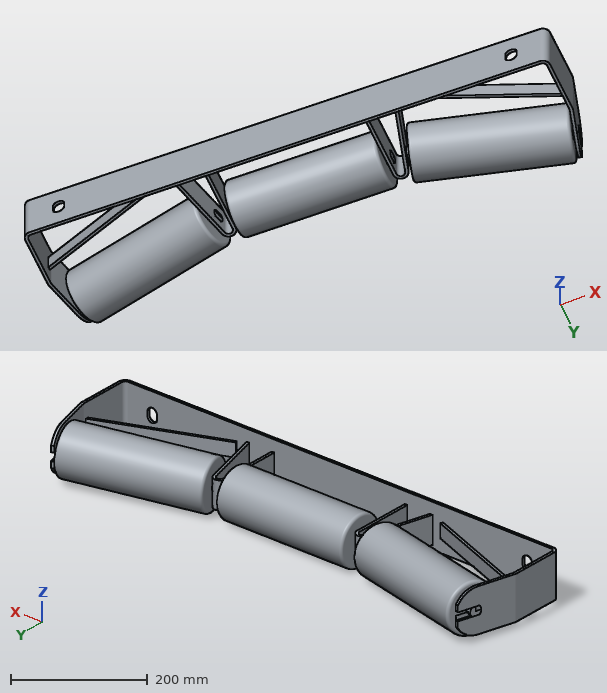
import cadquery as cq
import math

frame_length = 830.0
frame_height = 80.0
sheet = 5.0
bend_radius = 12.0
wing_angle = 15.0
wing_bend_y = 97.0
end_plate_tip_y = 198.0
end_plate_round_y = 164.0

mount_slot_x = 358.0
mount_slot_width = 18.0
mount_slot_height = 25.0

bracket_bend_x = 136.0
bracket_bend_y = 114.0
bracket_height = 50.0

brace_angle = 21.3
brace_height = 25.0
brace_top_y = 91.0
brace_length = 232.0

roller_diameter = 89.0
roller_length = 240.0
roller_edge_radius = 5.0
shaft_diameter = 20.0
shaft_flat_width = 15.0
bracket_shaft_z = -7.0
centre_shaft_y = 100.0
wing_shaft_y = 168.0

shaft_plane = cq.Plane((0, 0, 0), xDir=(0, 0, 1), normal=(1, 0, 0))
half_length = frame_length / 2
inner_radius = bend_radius - sheet
wing = math.radians(wing_angle)
lean_x = math.sin(wing)
lean_y = math.cos(wing)


def polar(centre, radius, angle):
    """Point at a radius and an angle in degrees from a centre."""
    turn = math.radians(angle)
    return (centre[0] + radius * math.cos(turn), centre[1] + radius * math.sin(turn))


def along_lean(start, y):
    """Point at height y on the line through start that leans inward (+X) by the wing angle."""
    return (start[0] + (y - start[1]) * lean_x / lean_y, y)


def mirrored(left_half):
    """A left-hand shape together with its mirror image across the YZ plane."""
    return left_half.union(left_half.mirror("YZ"))


corner_centre = (bend_radius - half_length, bend_radius)
wing_bend_centre = (bend_radius - half_length, wing_bend_y)
bracket_bend_centre = (-bracket_bend_x, bracket_bend_y)

end_plate_start = polar(wing_bend_centre, bend_radius, 180 - wing_angle)
bracket_lean_start = polar(bracket_bend_centre, bend_radius, 180 - wing_angle)

wing_shaft_start = along_lean(end_plate_start, wing_shaft_y)
wing_span = (
    (bracket_lean_start[0] - wing_shaft_start[0]) * lean_y
    - (bracket_lean_start[1] - wing_shaft_start[1]) * lean_x
    + sheet
)
wing_tilt = math.degrees(math.atan2(-bracket_shaft_z, wing_span))
bracket_leg_face_x = bend_radius - bracket_bend_x
centre_span = 2 * (sheet - bracket_leg_face_x)


def sheet_strip(profile, height):
    """Strip of a given height from an XY profile, centred on Z = 0."""
    return profile.close().extrude(height / 2, both=True)


def base_strip():
    """Left half of the base strip with its corner and leaning end plate."""
    corner = corner_centre
    top = wing_bend_centre
    tip_outer = along_lean(end_plate_start, end_plate_tip_y)
    tip_inner = (tip_outer[0] + sheet * lean_y, tip_outer[1] - sheet * lean_x)
    profile = (
        cq.Workplane("XY")
        .moveTo(0, 0)
        .lineTo(corner[0], 0)
        .threePointArc(polar(corner, bend_radius, 225), (-half_length, bend_radius))
        .lineTo(-half_length, top[1])
        .threePointArc(polar(top, bend_radius, 180 - wing_angle / 2), end_plate_start)
        .lineTo(*tip_outer)
        .lineTo(*tip_inner)
        .lineTo(*polar(top, inner_radius, 180 - wing_angle))
        .threePointArc(polar(top, inner_radius, 180 - wing_angle / 2), (sheet - half_length, top[1]))
        .lineTo(sheet - half_length, bend_radius)
        .threePointArc(polar(corner, inner_radius, 225), (corner[0], sheet))
        .lineTo(0, sheet)
    )
    return sheet_strip(profile, frame_height)


def bracket():
    """Left inverted-V bracket: an upright leg, a bend and a leg that leans with the wing."""
    centre = bracket_bend_centre
    crown = 90 - wing_angle / 2
    inner_lean_start = polar(centre, inner_radius, 180 - wing_angle)
    profile = (
        cq.Workplane("XY")
        .moveTo(bracket_leg_face_x, 0)
        .lineTo(bracket_leg_face_x, centre[1])
        .threePointArc(polar(centre, bend_radius, crown), bracket_lean_start)
        .lineTo(*along_lean(bracket_lean_start, 0))
        .lineTo(*along_lean(inner_lean_start, 0))
        .lineTo(*inner_lean_start)
        .threePointArc(polar(centre, inner_radius, crown), (centre[0] + inner_radius, centre[1]))
        .lineTo(centre[0] + inner_radius, 0)
    )
    return sheet_strip(profile, bracket_height).translate((0, 0, bracket_shaft_z))


def brace():
    """Left flat-bar brace sloping from the end plate down to the base strip."""
    return (
        cq.Workplane("XY")
        .box(brace_length, sheet, brace_height, centered=(False, True, True))
        .rotate((0, 0, 0), (0, 0, 1), -brace_angle)
        .translate((sheet / 2 - half_length, brace_top_y, 0))
    )


def place_on_wing(shape):
    """Move a shape built along +X from the origin onto the left wing shaft axis."""
    return (
        shape.rotate((0, 0, 0), (0, 1, 0), wing_tilt)
        .rotate((0, 0, 0), (0, 0, 1), -wing_angle)
        .translate((wing_shaft_start[0], wing_shaft_start[1], 0))
    )


def place_at_centre(shape):
    """Move a shape built along +X from the origin onto the centre shaft axis."""
    return shape.translate((-centre_span / 2, centre_shaft_y, bracket_shaft_z))


def shaft(span):
    """Shaft along +X with two flats facing up and down."""
    flats = cq.Workplane("XY").box(
        span, shaft_diameter, shaft_flat_width, centered=(False, True, True)
    )
    return cq.Workplane(shaft_plane).circle(shaft_diameter / 2).extrude(span).intersect(flats)


def roller(span):
    """Roller along +X with its flatted shaft reaching over the whole span."""
    body_start = (span - roller_length) / 2
    drum = (
        cq.Workplane(shaft_plane)
        .workplane(offset=body_start)
        .circle(roller_diameter / 2)
        .extrude(roller_length)
        .edges()
        .fillet(roller_edge_radius)
    )
    neck = (
        cq.Workplane(shaft_plane)
        .workplane(offset=sheet)
        .circle(shaft_diameter / 2)
        .extrude(span - 2 * sheet)
    )
    return drum.union(neck).union(shaft(span))


def end_plate_slot():
    """Open slot along +Y that lets a wing shaft drop into its end plate."""
    slot = cq.Workplane("XY").box(
        2 * sheet, frame_height, shaft_flat_width, centered=(True, False, True)
    )
    return place_on_wing(slot)


def mounting_slots():
    """Upright slots through the base strip."""
    return (
        cq.Workplane("XZ")
        .pushPoints([(-mount_slot_x, 0), (mount_slot_x, 0)])
        .slot2D(mount_slot_height, mount_slot_width, 90)
        .extrude(-sheet)
    )


def tip_trim():
    """Corners removed from a left end plate to round its tip about the wing shaft."""
    block = cq.Workplane("XY").box(
        4 * sheet, frame_height, 2 * frame_height, centered=(True, False, True)
    )
    round_end = cq.Workplane(shaft_plane).circle(frame_height / 2).extrude(2 * sheet, both=True)
    return (
        block.cut(round_end)
        .rotate((0, 0, 0), (0, 0, 1), -wing_angle)
        .translate(along_lean(end_plate_start, end_plate_round_y) + (0,))
    )


left_roller = place_on_wing(roller(wing_span))
right_roller = left_roller.mirror("YZ")
centre_roller = place_at_centre(roller(centre_span))

left = base_strip().cut(tip_trim()).cut(end_plate_slot()).union(bracket()).union(brace())
frame = mirrored(left).cut(mounting_slots())
for r in (left_roller, right_roller, centre_roller):
    frame = frame.cut(r)
result = cq.Compound.makeCompound([frame.val(), left_roller.val(), centre_roller.val(), right_roller.val()])